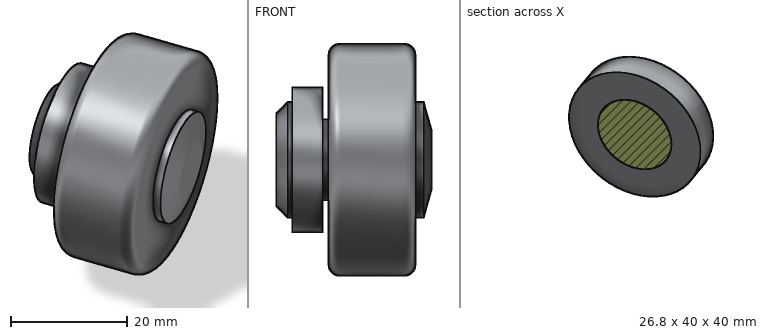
import cadquery as cq

roller_diameter = 40.0
roller_width = 15.0
roller_fillet = 2.0

neck_diameter = 14.0
neck_length = 1.0
collar_diameter = 25.0
collar_width = 5.25
stub_diameter = 20.0
stub_length = 2.75
stub_chamfer = 2.0

head_diameter = 20.0
head_disc_width = 1.4
cap_end_diameter = 10.0
cap_length = 1.4

collar_start = stub_length
neck_start = collar_start + collar_width
roller_start = neck_start + neck_length
head_start = roller_start + roller_width
cap_start = head_start + head_disc_width


def disc(start, width, diameter):
    """Cylinder along +X beginning at the given station."""
    return cq.Workplane("YZ", origin=(start, 0, 0)).circle(diameter / 2).extrude(width)


def conical_cap():
    """Cone frustum narrowing toward +X."""
    return (
        cq.Workplane("YZ", origin=(cap_start, 0, 0))
        .circle(head_diameter / 2)
        .workplane(offset=cap_length)
        .circle(cap_end_diameter / 2)
        .loft(ruled=True)
    )


stub = disc(0, stub_length, stub_diameter).faces("<X").chamfer(stub_chamfer)
collar = disc(collar_start, collar_width, collar_diameter)
neck = disc(neck_start, neck_length, neck_diameter)
roller = disc(roller_start, roller_width, roller_diameter).edges().fillet(roller_fillet)
head = disc(head_start, head_disc_width, head_diameter).union(conical_cap())

result = stub.union(collar).union(neck).union(roller).union(head)